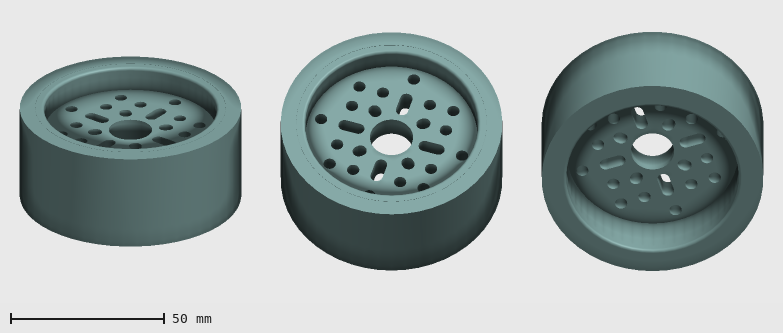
import math

import cadquery as cq

outer_radius = 36.0
width = 32.0

recess_radius = 28.0
top_recess_depth = 8.0
web_thickness = 8.0
rim_fillet = 1.0
bottom_recess_depth = width - top_recess_depth - web_thickness

seam_outer_radius = 31.0
seam_width = 0.1
seam_depth = 0.1

bore_diameter = 14.0
hole_diameter = 4.0
grid_pitch = 8.0
outer_hole_offset = 3 * grid_pitch
slot_inner_end = grid_pitch * math.sqrt(2)
straight_slot_outer_end = 2 * grid_pitch
diagonal_slot_outer_end = 12.0
diagonal_angle = 45
quarter_turns = (0, 90, 180, 270)


def make_rim_and_web():
    """Cylinder with a rounded recess in each face."""
    body = cq.Workplane("XY").circle(outer_radius).extrude(width)
    body = body.faces(">Z").workplane().circle(recess_radius).cutBlind(-top_recess_depth)
    body = body.faces("<Z").workplane().circle(recess_radius).cutBlind(-bottom_recess_depth)
    rim_edges = cq.selectors.RadiusNthSelector(0)
    for face in (">Z", "<Z"):
        body = body.faces(face).edges(rim_edges).fillet(rim_fillet)
    return body


def make_seam_groove():
    """Hairline ring groove in the top face, between the tread and the hub rim."""
    floor = cq.Workplane("XY").workplane(offset=width - seam_depth)
    ring = floor.circle(seam_outer_radius).circle(seam_outer_radius - seam_width)
    return ring.extrude(seam_depth)


def make_radial_slot(outer_end, angle):
    """Through cutter for a radial slot; its end arcs are centred at the two end radii."""
    center = (slot_inner_end + outer_end) / 2
    length = outer_end - slot_inner_end + hole_diameter
    slot = cq.Workplane("XY").center(center, 0).slot2D(length, hole_diameter)
    return slot.extrude(width).rotate((0, 0, 0), (0, 0, 1), angle)


def make_quarter_holes(angle):
    """Through cutter for the round holes of one quarter of the pattern."""
    near = grid_pitch
    far = 2 * grid_pitch
    points = [(outer_hole_offset, 0), (far, near), (near, far), (far, far)]
    holes = cq.Workplane("XY").pushPoints(points).circle(hole_diameter / 2).extrude(width)
    return holes.rotate((0, 0, 0), (0, 0, 1), angle)


result = make_rim_and_web().cut(make_seam_groove())
result = result.cut(cq.Workplane("XY").circle(bore_diameter / 2).extrude(width))

for turn in quarter_turns:
    result = result.cut(make_quarter_holes(turn))
    result = result.cut(make_radial_slot(straight_slot_outer_end, turn))
    result = result.cut(make_radial_slot(diagonal_slot_outer_end, turn + diagonal_angle))